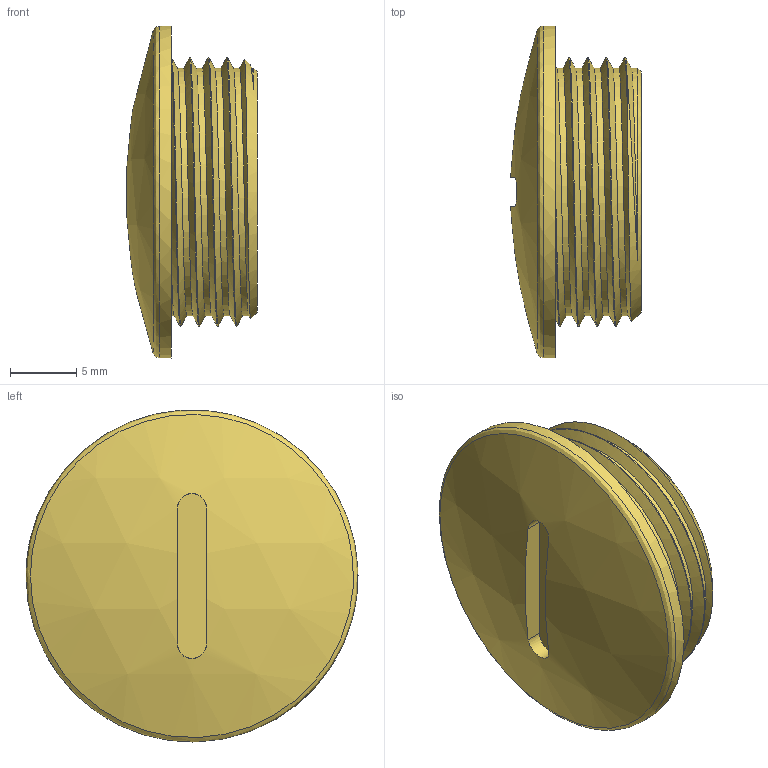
import cadquery as cq

head_radius = 25.15 / 2
dome_radius = 37.2
head_back_x = 3.42
rim_fillet = 0.5

overall_length = 9.96
stud_start_x = 2.2
core_radius = 9.38
end_radius = 9.1

thread_pitch = 1.411
crest_radius = 10.18
thread_base_width = 0.94
thread_crest_width = 0.06
thread_overlap = 0.2
thread_start_x = 1.67
thread_end_x = overall_length + thread_pitch

slot_length = 12.5
slot_width = 2.2
slot_floor_x = 1.6


def make_head():
    """Disc with a shallow spherical front and a rounded rim."""
    disc = cq.Workplane("YZ").circle(head_radius).extrude(head_back_x)
    dome = cq.Workplane("XY").sphere(dome_radius).translate((dome_radius, 0, 0))
    head = disc.intersect(dome)
    return head.faces("%CYLINDER").edges("<X").fillet(rim_fillet)


def make_thread():
    """Helical ridge of trapezoidal section, before it is trimmed to the stud."""
    half_crest = thread_crest_width / 2
    half_base = thread_base_width / 2
    flank_slope = (half_base - half_crest) / (crest_radius - core_radius)
    half_root = half_base + flank_slope * thread_overlap
    root_radius = core_radius - thread_overlap
    helix = cq.Wire.makeHelix(thread_pitch, thread_end_x - thread_start_x, core_radius)
    ridge = (
        cq.Workplane("XZ")
        .moveTo(root_radius, -half_root)
        .lineTo(crest_radius, -half_crest)
        .lineTo(crest_radius, half_crest)
        .lineTo(root_radius, half_root)
        .close()
        .sweep(cq.Workplane(obj=helix), isFrenet=True)
    )
    aligned = ridge.rotate((0, 0, 0), (1, 1, 1), 120)
    return aligned.translate((thread_start_x, 0, 0))


def make_stud_envelope():
    """Cylinder clear of the crests, narrowed by a 45 degree lead-in cone at the free end."""
    clear_radius = crest_radius + thread_overlap
    cone_length = clear_radius - end_radius
    return (
        cq.Workplane("YZ")
        .workplane(offset=stud_start_x)
        .circle(clear_radius)
        .extrude(overall_length - stud_start_x)
        .faces(">X")
        .chamfer(cone_length)
    )


def make_stud():
    """Overlong threaded core, trimmed to length by the envelope."""
    core = (
        cq.Workplane("YZ")
        .workplane(offset=stud_start_x)
        .circle(core_radius)
        .extrude(thread_end_x - stud_start_x)
    )
    return core.union(make_thread()).intersect(make_stud_envelope())


def make_slot():
    """Round-ended slot cut to a flat floor."""
    long_axis_angle = 90
    return (
        cq.Workplane("YZ")
        .slot2D(slot_length, slot_width, long_axis_angle)
        .extrude(slot_floor_x)
    )


result = make_head().union(make_stud()).cut(make_slot())